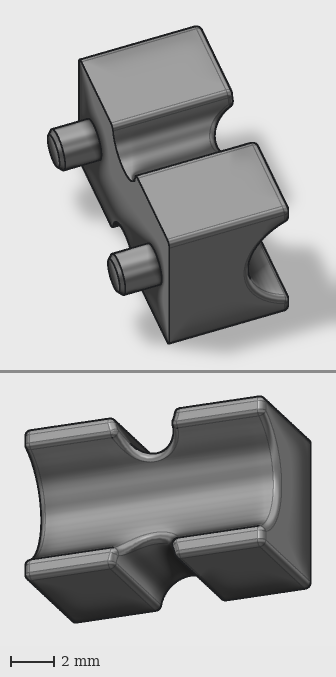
import cadquery as cq

width = 12.0
depth = 6.0
height = 7.5
edge_radius = 0.3

side_groove_radius = 1.5

saddle_radius = 3.0
saddle_depth = 2.0
saddle_center_y = depth - saddle_depth + saddle_radius

pin_diameter = 2.0
pin_length = 2.0
pin_spacing = 8.0
pin_chamfer = 0.2


def make_body():
    """Block with two side grooves and a saddle, rounded everywhere but the front face."""
    block = cq.Workplane("XY").box(width, depth, height).translate((0, depth / 2, 0))
    side_grooves = (
        cq.Workplane("XZ")
        .pushPoints([(0, height / 2), (0, -height / 2)])
        .circle(side_groove_radius)
        .extrude(-depth)
    )
    saddle = (
        cq.Workplane("YZ")
        .center(saddle_center_y, 0)
        .circle(saddle_radius)
        .extrude(width / 2, both=True)
    )
    body = block.cut(side_grooves).cut(saddle)
    front_edges = body.faces("<Y").edges()
    return body.edges().newObject(
        [e for e in body.edges().vals() if not any(e.isSame(f) for f in front_edges.vals())]
    ).fillet(edge_radius)


def make_pins():
    """Two pins standing out of the front face, chamfered at the tip."""
    return (
        cq.Workplane("XZ")
        .pushPoints([(-pin_spacing / 2, 0), (pin_spacing / 2, 0)])
        .circle(pin_diameter / 2)
        .extrude(pin_length)
        .faces("<Y")
        .chamfer(pin_chamfer)
    )


result = make_body().union(make_pins())